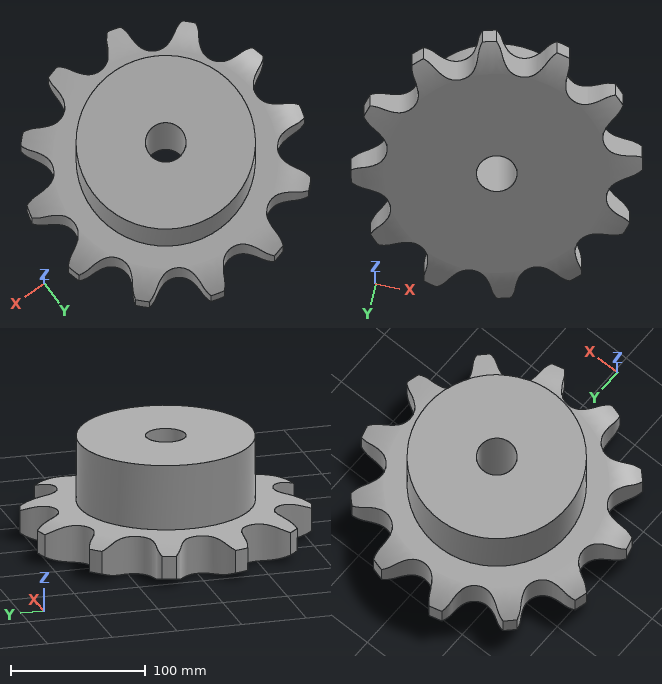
import cadquery as cq
import math


tooth_count = 12
chain_pitch = 50.8
roller_diameter = 29.2
roller_clearance = 0.05

outer_width = 211.9
wheel_thickness = 29.5
flat_face_diameter = 167.8
tip_face_width = 17.8

hub_diameter = 133.0
total_height = 80.0
bore_diameter = 30.0

pitch_angle = 360 / tooth_count
pitch_radius = chain_pitch / 2 / math.sin(math.radians(pitch_angle / 2))


def offset(point, distance, degrees):
    """Point at a distance and direction from another point."""
    angle = math.radians(degrees)
    return (point[0] + distance * math.cos(angle), point[1] + distance * math.sin(angle))


def mirrored(point):
    """Point reflected to the other side of the gap's centre line."""
    return (-point[0], point[1])


seating_angle = 35 + 60 / tooth_count
working_sweep = 18 - 56 / tooth_count
topping_angle = 17 - 64 / tooth_count
flat_angle = seating_angle - working_sweep
working_offset = 0.8 * roller_diameter
topping_offset = 1.4 * roller_diameter

roller_centre = (0, pitch_radius)
seating_radius = 1.005 * roller_diameter / 2 + roller_clearance
working_radius = working_offset + seating_radius
working_centre = offset(roller_centre, working_offset, 180 - seating_angle)
topping_centre = offset(roller_centre, topping_offset, -pitch_angle / 2)
topping_radius = (
    working_offset * math.cos(math.radians(working_sweep))
    + topping_offset * math.cos(math.radians(topping_angle))
    - working_radius
)

corner_y = outer_width / 2
corner_x = topping_centre[0] - math.sqrt(topping_radius**2 - (corner_y - topping_centre[1])**2)
tip_radius = math.hypot(corner_x, corner_y)


def wheel_blank():
    """Disc whose rim curves in towards the tip from both flat faces."""
    flat_radius = flat_face_diameter / 2
    side_run = tip_radius - flat_radius
    side_drop = (wheel_thickness - tip_face_width) / 2
    side_radius = (side_run**2 + side_drop**2) / (2 * side_drop)
    half_sweep = math.degrees(math.atan2(side_drop, side_run))
    lower_middle = offset((flat_radius, side_radius), side_radius, half_sweep - 90)
    upper_middle = (lower_middle[0], wheel_thickness - lower_middle[1])
    return (
        cq.Workplane("XZ")
        .lineTo(flat_radius, 0)
        .threePointArc(lower_middle, (tip_radius, side_drop))
        .lineTo(tip_radius, wheel_thickness - side_drop)
        .threePointArc(upper_middle, (flat_radius, wheel_thickness))
        .lineTo(0, wheel_thickness)
        .close()
        .revolve(360, (0, 0), (0, 1))
    )


def tooth_gap():
    """Cutter for the gap on the +Y axis, reaching past the tip circle."""
    topping_sweep = 35
    seat_bottom = offset(roller_centre, seating_radius, -90)
    seat_end = offset(roller_centre, seating_radius, -seating_angle)
    working_middle = offset(working_centre, working_radius, working_sweep / 2 - seating_angle)
    working_end = offset(working_centre, working_radius, -flat_angle)
    topping_start = offset(topping_centre, topping_radius, 180 - flat_angle)
    topping_middle = offset(topping_centre, topping_radius, 180 - flat_angle - topping_sweep / 2)
    topping_end = offset(topping_centre, topping_radius, 180 - flat_angle - topping_sweep)
    outer_corner = (topping_end[0], tip_radius + roller_diameter)

    return (
        cq.Workplane("XY")
        .moveTo(*mirrored(seat_end))
        .threePointArc(seat_bottom, seat_end)
        .threePointArc(working_middle, working_end)
        .lineTo(*topping_start)
        .threePointArc(topping_middle, topping_end)
        .lineTo(*outer_corner)
        .lineTo(*mirrored(outer_corner))
        .lineTo(*mirrored(topping_end))
        .threePointArc(mirrored(topping_middle), mirrored(topping_start))
        .lineTo(*mirrored(working_end))
        .threePointArc(mirrored(working_middle), mirrored(seat_end))
        .close()
        .extrude(wheel_thickness)
    )


wheel = wheel_blank()
gap = tooth_gap()
for index in range(tooth_count):
    wheel = wheel.cut(gap.rotate((0, 0, 0), (0, 0, 1), index * pitch_angle))

hub = cq.Workplane("XY").circle(hub_diameter / 2).extrude(total_height)
bore = cq.Workplane("XY").circle(bore_diameter / 2).extrude(total_height)

result = wheel.union(hub).cut(bore)